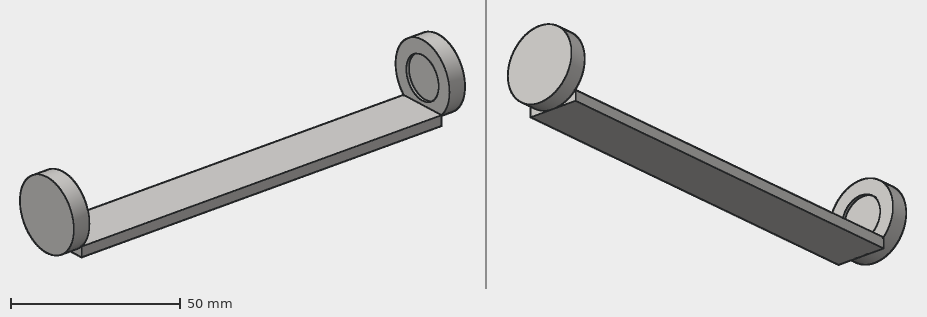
import cadquery as cq

total_length = 150.0
disc_diameter = 25.0
disc_thickness = 6.0
recess_diameter = 15.0
recess_depth = 1.0
strip_width = 17.7
strip_thickness = 3.6

disc_radius = disc_diameter / 2
strip_length = total_length - 2 * disc_thickness


def end_disc(side):
    """Upright disc at the +Y (side=1) or -Y (side=-1) end, recessed on its inner face."""
    inner_y = side * strip_length / 2
    inner_face = cq.Workplane("XZ", origin=(0, inner_y, disc_radius))
    disc = inner_face.circle(disc_radius).extrude(-side * disc_thickness)
    recess = inner_face.circle(recess_diameter / 2).extrude(-side * recess_depth)
    return disc.cut(recess)


result = cq.Workplane("XY").box(
    strip_width, strip_length, strip_thickness, centered=(True, True, False)
)
for side in (-1, 1):
    result = result.union(end_disc(side))